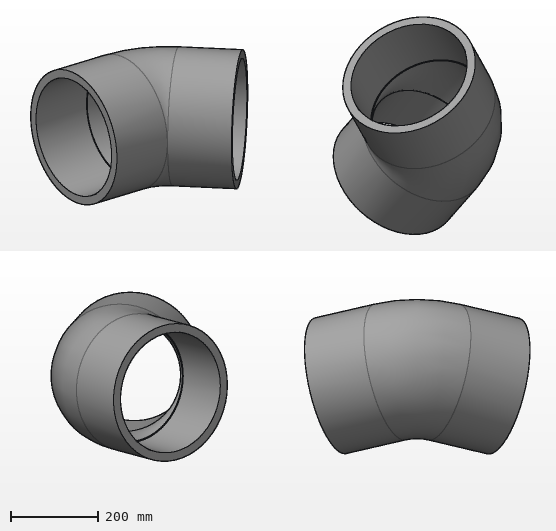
import cadquery as cq

outer_diameter = 320.0
socket_bore = 280.0
bend_bore = 274.5
leg_length = 147.5
bend_angle = 45
pivot_gap = 0.5

bend_radius = outer_diameter / 2 + pivot_gap


def leg(diameter):
    """Cylinder running from the start of the bend toward -Y."""
    return (
        cq.Workplane("XZ")
        .center(-bend_radius, 0)
        .circle(diameter / 2)
        .extrude(leg_length)
    )


def bend(diameter):
    """Round section swept about the bend axis, from the first leg to the second."""
    return (
        cq.Workplane("XZ")
        .center(-bend_radius, 0)
        .circle(diameter / 2)
        .revolve(bend_angle, (bend_radius, 5, 0), (bend_radius, 0, 0))
    )


def second_leg(first_leg):
    """Copy of a leg, mirrored across the bend and turned to its far end."""
    return first_leg.mirror("XZ").rotate((0, 0, 0), (0, 0, 1), -bend_angle)


def elbow(leg_diameter, bend_diameter):
    """Solid elbow made of two straight legs joined by the bend."""
    first_leg = leg(leg_diameter)
    return bend(bend_diameter).union(first_leg).union(second_leg(first_leg))


outside = elbow(outer_diameter, outer_diameter)
bore = elbow(socket_bore, bend_bore)
result = outside.cut(bore)